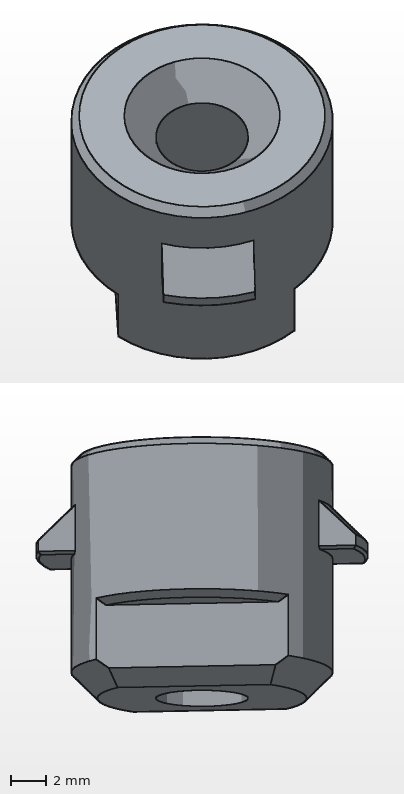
import cadquery as cq

height = 13.78
body_radius = 14.8 / 2
top_chamfer = 0.45
bottom_chamfer = 1.48

hole_radius = 5.2 / 2
countersink_radius = 4.4
countersink_depth = countersink_radius - hole_radius

flat_offset = 4.98
flat_top = 4.98
flat_bottom_chamfer = 0.96
ledge_chamfer = 0.41

lug_angle = -50.0
lug_radius = 9.4
lug_width = 5.19
lug_bottom = 7.99
lug_rim_top = 8.78
lug_top = 10.79
lug_chamfer = 0.17


def make_collar():
    """Round upper body, overhanging the flats with a chamfered lower edge."""
    collar_bottom = flat_top - ledge_chamfer
    return (
        cq.Workplane("XY", origin=(0, 0, collar_bottom))
        .circle(body_radius)
        .extrude(height - collar_bottom)
        .faces(">Z")
        .chamfer(top_chamfer)
        .faces("<Z")
        .chamfer(ledge_chamfer)
    )


def make_shank():
    """Lower body: a chamfered cylinder trimmed by two flats facing along local Y."""
    cylinder = (
        cq.Workplane("XY")
        .circle(body_radius)
        .extrude(flat_top)
        .faces("<Z")
        .chamfer(bottom_chamfer)
    )
    slab = (
        cq.Workplane("XY")
        .rect(2 * body_radius, 2 * flat_offset)
        .extrude(flat_top)
        .faces("<Z")
        .edges("|X")
        .chamfer(flat_bottom_chamfer)
    )
    return cylinder.intersect(slab)


def make_lugs():
    """Opposite lugs along local X, with a conical top and chamfered lower edges."""
    bar = (
        cq.Workplane("XY", origin=(0, 0, lug_bottom))
        .rect(2 * lug_radius, lug_width)
        .extrude(lug_top - lug_bottom)
        .faces("<Z")
        .edges("|X")
        .chamfer(lug_chamfer)
    )
    conical_disc = (
        cq.Workplane("XZ")
        .moveTo(0, lug_bottom)
        .lineTo(lug_radius - lug_chamfer, lug_bottom)
        .lineTo(lug_radius, lug_bottom + lug_chamfer)
        .lineTo(lug_radius, lug_rim_top)
        .lineTo(body_radius, lug_top)
        .lineTo(0, lug_top)
        .close()
        .revolve(360, (0, 0, 0), (0, 1, 0))
    )
    return bar.intersect(conical_disc)


def make_hole():
    """Through hole with a 90 degree conical countersink at the top."""
    return (
        cq.Workplane("XZ")
        .lineTo(hole_radius, 0)
        .lineTo(hole_radius, height - countersink_depth)
        .lineTo(countersink_radius, height)
        .lineTo(0, height)
        .close()
        .revolve(360, (0, 0, 0), (0, 1, 0))
    )


solid = make_shank().union(make_collar()).union(make_lugs()).cut(make_hole())
result = solid.rotate((0, 0, 0), (0, 0, 1), lug_angle)